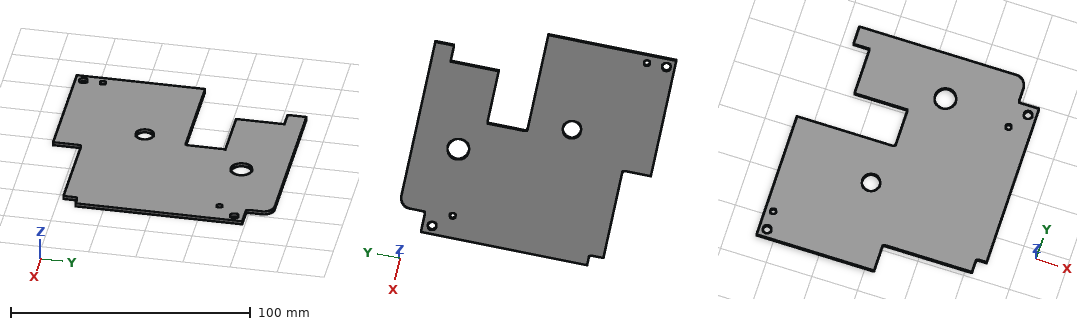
import cadquery as cq

length_x = 95.0
length_y = 100.0
thickness = 1.6

lower_edge_right_x = 51.5
lower_step_y = 12.0
side_notch_x = 90.5
side_notch_y = 18.0

upper_step_x = 86.0
upper_step_y = 88.8

tab_left_x = 12.6
tab_bottom_y = 92.0
neck_left_x = 19.7
slot_top_y = 71.5
slot_end_x = 43.0
slot_bottom_y = 54.5

outer_corner_radius = 4.5
upper_step_radius = 1.0
slot_radius = 1.0
lower_step_radius = 1.0

mounting_hole_diameter = 3.6
mounting_hole_inset = 3.5
mounting_hole_upper_y = 84.8
locating_hole_diameter = 2.5
upper_locating_hole = (85.4, 77.3)
lower_locating_hole_y = 11.8
upper_opening_diameter = 9.0
upper_opening = (56.5, 81.0)
lower_opening_diameter = 7.6
lower_opening = (38.4, 36.4)

mounting_holes = [
    (mounting_hole_inset, mounting_hole_inset),
    (length_x - mounting_hole_inset, mounting_hole_upper_y),
]
locating_holes = [
    (mounting_hole_inset, lower_locating_hole_y),
    upper_locating_hole,
]


def make_plate():
    """Extrude the sharp-cornered outline, listed counterclockwise from the origin."""
    outline = [
        (0, 0),
        (lower_edge_right_x, 0),
        (lower_edge_right_x, lower_step_y),
        (side_notch_x, lower_step_y),
        (side_notch_x, side_notch_y),
        (length_x, side_notch_y),
        (length_x, upper_step_y),
        (upper_step_x, upper_step_y),
        (upper_step_x, length_y),
        (tab_left_x, length_y),
        (tab_left_x, tab_bottom_y),
        (neck_left_x, tab_bottom_y),
        (neck_left_x, slot_top_y),
        (slot_end_x, slot_top_y),
        (slot_end_x, slot_bottom_y),
        (0, slot_bottom_y),
    ]
    return cq.Workplane("XY").polyline(outline).close().extrude(thickness)


def round_corner(plate, x, y, radius):
    """Round the vertical edge that stands at (x, y)."""
    corner = cq.selectors.NearestToPointSelector((x, y, thickness / 2))
    return plate.edges("|Z").edges(corner).fillet(radius)


def drill(plate, centres, diameter):
    """Cut round holes through the full thickness."""
    drills = cq.Workplane("XY").pushPoints(centres).circle(diameter / 2).extrude(thickness)
    return plate.cut(drills)


rounded_corners = [
    (upper_step_x, length_y, outer_corner_radius),
    (upper_step_x, upper_step_y, upper_step_radius),
    (slot_end_x, slot_bottom_y, slot_radius),
    (lower_edge_right_x, lower_step_y, lower_step_radius),
    (side_notch_x, side_notch_y, lower_step_radius),
]

result = make_plate()
for corner_x, corner_y, corner_radius in rounded_corners:
    result = round_corner(result, corner_x, corner_y, corner_radius)

result = drill(result, mounting_holes, mounting_hole_diameter)
result = drill(result, locating_holes, locating_hole_diameter)
result = drill(result, [upper_opening], upper_opening_diameter)
result = drill(result, [lower_opening], lower_opening_diameter)